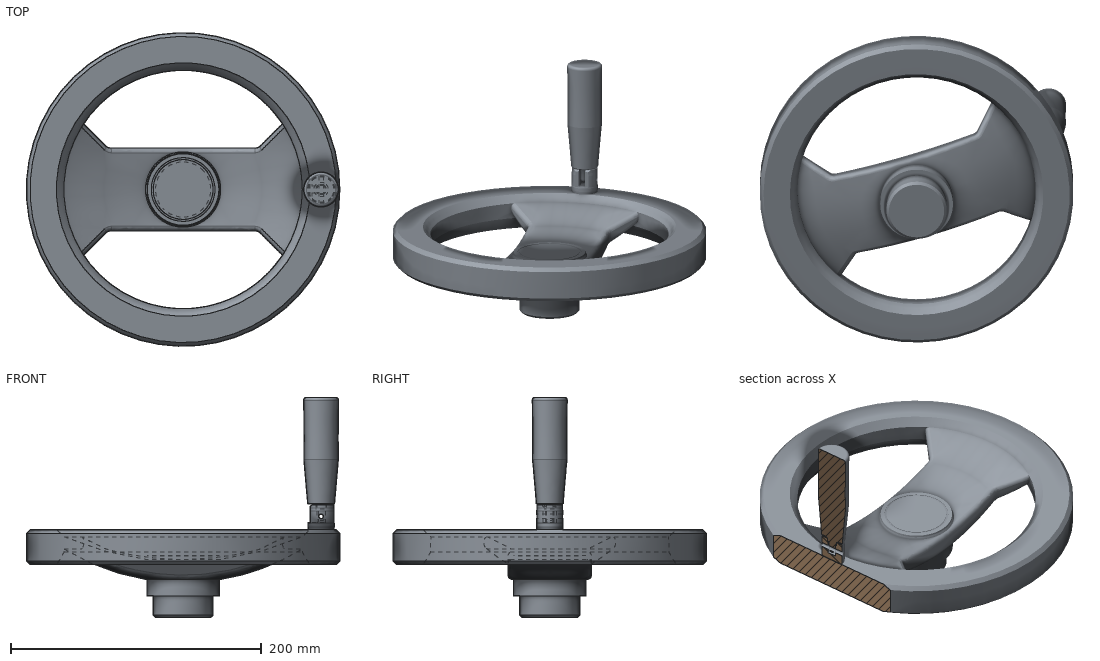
import cadquery as cq
import math

RIM_BOTTOM_Z = 42.2
RIM_TOP_Z = 70.1
OVERALL_HEIGHT = 175.5

RIM_RADIUS = 125.0
RIM_OUTER_CHAMFER = 3.0
RIM_FACE_INNER_RADIUS = 101.0
RIM_BORE_RADIUS = 95.0
RIM_UPPER_BEVEL_HEIGHT = 5.7
RIM_LOWER_BEVEL_HEIGHT = 10.0

SPIGOT_RADIUS = 24.0
SPIGOT_HEIGHT = 17.4
SPIGOT_CHAMFER = 2.0
FLANGE_RADIUS = 29.0
BOSS_TOP_Z = 49.4
BOSS_WALL_HEIGHT = 1.3
BOSS_BEVEL_HEIGHT = 1.6
BOSS_FOOT_Z = BOSS_TOP_Z - BOSS_WALL_HEIGHT - BOSS_BEVEL_HEIGHT
BOSS_TOP_RADIUS = 28.5
BOSS_WALL_RADIUS = 28.9
BOSS_BASE_RADIUS = 30.0
FACE_GROOVE_INNER_RADIUS = 23.8
FACE_GROOVE_WIDTH = 1.6
FACE_GROOVE_DEPTH = 0.4

WEB_HALF_WIDTH = 33.2
WEB_STRAIGHT_HALF_LENGTH = 60.0
WEB_FLARE_LENGTH = 40.0
WEB_EDGE_FILLET = 3.5
WEB_CORNER_RADIUS = 5.0
WEB_EDGE_MIN_Y = 30.0
WEB_LOWER_SPHERE_RADIUS = 182.0
WEB_LOWER_Z_AT_FLANGE = 30.2

HANDLE_X = 110.0

KNUCKLE_RADIUS = 10.5
KNUCKLE_FOOT_RADIUS = 10.3
KNUCKLE_FOOT_Z = 72.2
LEDGE_Z = 75.6
LEDGE_CHAMFER = 0.6
BARREL_RADIUS = 10.4
SHOULDER_Z = 85.1
NECK_Z = 87.4
NECK_RADIUS = 10.25
KNUCKLE_TOP_Z = 89.8
KNUCKLE_TOP_RADIUS = 10.2
FLAT_DISTANCE = 8.85
FLAT_TOP_BEVEL = 1.4
SLOT_WIDTH = 5.42
SLOT_CORNER_RADIUS = 1.5
BORE_RADIUS = 7.03 / 2
COUNTERBORE_RADIUS = 8.3 / 2
COUNTERBORE_Z = 86.6
PIVOT_Z = 80.7
PIVOT_HOLE_DIAMETER = 3.5

GRIP_RADIUS = 14.0
GRIP_WAIST_RADIUS = 13.65
GRIP_SHOULDER_RADIUS = 13.8
GRIP_SHOULDER_Z = 126.0
GRIP_BOTTOM_Z = 90.4
GRIP_BOTTOM_RADIUS = 10.8
GRIP_BOTTOM_CHAMFER = 0.7
GRIP_TOP_FILLET = 2.3
GRIP_COLLAR_RADIUS = 11.52 / 2
TONGUE_RADIUS = 6.95 / 2
TONGUE_ROOT_RADIUS = 8.17 / 2


def revolve_z(profile):
    """Full turn about the Z axis of a closed profile given in (radius, z)."""
    return profile.close().revolve(360, (0, 0, 0), (0, 1, 0))


def make_rim():
    """The rim ring, bevelled inside and chamfered outside."""
    chamfer = RIM_OUTER_CHAMFER
    profile = (
        cq.Workplane("XZ")
        .moveTo(RIM_FACE_INNER_RADIUS, RIM_BOTTOM_Z)
        .lineTo(RIM_RADIUS - chamfer, RIM_BOTTOM_Z)
        .lineTo(RIM_RADIUS, RIM_BOTTOM_Z + chamfer)
        .lineTo(RIM_RADIUS, RIM_TOP_Z - chamfer)
        .lineTo(RIM_RADIUS - chamfer, RIM_TOP_Z)
        .lineTo(RIM_FACE_INNER_RADIUS, RIM_TOP_Z)
        .lineTo(RIM_BORE_RADIUS, RIM_TOP_Z - RIM_UPPER_BEVEL_HEIGHT)
        .lineTo(RIM_BORE_RADIUS, RIM_BOTTOM_Z + RIM_LOWER_BEVEL_HEIGHT)
    )
    return revolve_z(profile)


def make_hub():
    """Spigot, flange and grooved boss in one turned piece."""
    wall_bottom_z = BOSS_TOP_Z - BOSS_WALL_HEIGHT
    profile = (
        cq.Workplane("XZ")
        .moveTo(0, 0)
        .lineTo(SPIGOT_RADIUS - SPIGOT_CHAMFER, 0)
        .lineTo(SPIGOT_RADIUS, SPIGOT_CHAMFER)
        .lineTo(SPIGOT_RADIUS, SPIGOT_HEIGHT)
        .lineTo(FLANGE_RADIUS, SPIGOT_HEIGHT)
        .lineTo(FLANGE_RADIUS, BOSS_FOOT_Z)
        .lineTo(BOSS_BASE_RADIUS, BOSS_FOOT_Z)
        .lineTo(BOSS_WALL_RADIUS, wall_bottom_z)
        .lineTo(BOSS_TOP_RADIUS, BOSS_TOP_Z)
        .lineTo(0, BOSS_TOP_Z)
    )
    groove = (
        cq.Workplane("XY", origin=(0, 0, BOSS_TOP_Z - FACE_GROOVE_DEPTH))
        .circle(FACE_GROOVE_INNER_RADIUS + FACE_GROOVE_WIDTH)
        .circle(FACE_GROOVE_INNER_RADIUS)
        .extrude(FACE_GROOVE_DEPTH)
    )
    return revolve_z(profile).cut(groove)


def make_web():
    """A two-winged dish between two spheres, with its long edges rounded."""
    flare_x = WEB_STRAIGHT_HALF_LENGTH + WEB_FLARE_LENGTH
    flare_y = WEB_HALF_WIDTH + WEB_FLARE_LENGTH
    outline = (
        cq.Workplane("XY")
        .moveTo(-flare_x, -flare_y)
        .lineTo(-WEB_STRAIGHT_HALF_LENGTH, -WEB_HALF_WIDTH)
        .lineTo(WEB_STRAIGHT_HALF_LENGTH, -WEB_HALF_WIDTH)
        .lineTo(flare_x, -flare_y)
        .lineTo(flare_x, flare_y)
        .lineTo(WEB_STRAIGHT_HALF_LENGTH, WEB_HALF_WIDTH)
        .lineTo(-WEB_STRAIGHT_HALF_LENGTH, WEB_HALF_WIDTH)
        .lineTo(-flare_x, flare_y)
        .close()
        .extrude(RIM_TOP_Z)
    )
    flare_middle_x = WEB_STRAIGHT_HALF_LENGTH + WEB_FLARE_LENGTH / 2
    inner_corners = outline.edges("|Z").filter(lambda edge: abs(edge.Center().x) < flare_middle_x)
    outline = inner_corners.fillet(WEB_CORNER_RADIUS)
    bore_top_z = RIM_TOP_Z - RIM_UPPER_BEVEL_HEIGHT
    rise = bore_top_z - BOSS_FOOT_Z
    upper_center_z = (
        RIM_BORE_RADIUS**2 - BOSS_BASE_RADIUS**2 + bore_top_z**2 - BOSS_FOOT_Z**2
    ) / (2 * rise)
    upper_radius = math.hypot(BOSS_BASE_RADIUS, upper_center_z - BOSS_FOOT_Z)

    lower_center_z = WEB_LOWER_Z_AT_FLANGE + math.sqrt(WEB_LOWER_SPHERE_RADIUS**2 - FLANGE_RADIUS**2)

    lower_ball = cq.Workplane("XY", origin=(0, 0, lower_center_z)).sphere(WEB_LOWER_SPHERE_RADIUS)
    upper_ball = cq.Workplane("XY", origin=(0, 0, upper_center_z)).sphere(upper_radius)
    end_radius = (RIM_BORE_RADIUS + RIM_FACE_INNER_RADIUS) / 2
    disc = cq.Workplane("XY").circle(end_radius).extrude(RIM_TOP_Z)
    web = outline.intersect(disc).intersect(lower_ball).cut(upper_ball)
    long_edges = web.edges("not(|Z)").filter(lambda edge: abs(edge.Center().y) > WEB_EDGE_MIN_Y)
    return long_edges.fillet(WEB_EDGE_FILLET)


def make_wheel():
    """Rim, web and hub as one body."""
    return make_rim().union(make_web()).union(make_hub())


def make_knuckle():
    """A turned stub standing on the rim, flattened and slotted on the side facing the hub."""
    profile = (
        cq.Workplane("XZ")
        .moveTo(0, RIM_TOP_Z)
        .lineTo(KNUCKLE_FOOT_RADIUS, RIM_TOP_Z)
        .lineTo(KNUCKLE_RADIUS, KNUCKLE_FOOT_Z)
        .lineTo(KNUCKLE_RADIUS, LEDGE_Z - LEDGE_CHAMFER)
        .lineTo(BARREL_RADIUS, LEDGE_Z)
        .lineTo(BARREL_RADIUS, SHOULDER_Z)
        .lineTo(NECK_RADIUS, NECK_Z)
        .lineTo(KNUCKLE_TOP_RADIUS, KNUCKLE_TOP_Z)
        .lineTo(0, KNUCKLE_TOP_Z)
    )
    flat = (
        cq.Workplane("XZ", origin=(0, KNUCKLE_RADIUS, 0))
        .moveTo(-KNUCKLE_RADIUS, LEDGE_Z)
        .lineTo(-FLAT_DISTANCE, LEDGE_Z)
        .lineTo(-FLAT_DISTANCE, KNUCKLE_TOP_Z - FLAT_TOP_BEVEL)
        .lineTo(FLAT_TOP_BEVEL - FLAT_DISTANCE, KNUCKLE_TOP_Z)
        .lineTo(-KNUCKLE_RADIUS, KNUCKLE_TOP_Z)
        .close()
        .extrude(2 * KNUCKLE_RADIUS)
    )
    slot_height = KNUCKLE_TOP_Z - LEDGE_Z
    slot = (
        cq.Workplane("XY", origin=(-KNUCKLE_RADIUS / 2, 0, LEDGE_Z))
        .box(KNUCKLE_RADIUS, SLOT_WIDTH, slot_height, centered=(True, True, False))
        .edges("|X and <Z")
        .fillet(SLOT_CORNER_RADIUS)
    )
    bore = cq.Workplane("XY", origin=(0, 0, LEDGE_Z)).circle(BORE_RADIUS).extrude(slot_height)
    counterbore = (
        cq.Workplane("XY", origin=(0, 0, COUNTERBORE_Z))
        .circle(COUNTERBORE_RADIUS)
        .extrude(KNUCKLE_TOP_Z - COUNTERBORE_Z)
    )
    knuckle = revolve_z(profile)
    for cutter in (flat, slot, bore, counterbore, make_pivot_hole()):
        knuckle = knuckle.cut(cutter)
    return knuckle.translate((HANDLE_X, 0, 0))


def make_pivot_hole():
    """Cutter for the hole along Y through the knuckle and the tongue."""
    return (
        cq.Workplane("XZ", origin=(0, KNUCKLE_RADIUS, PIVOT_Z))
        .circle(PIVOT_HOLE_DIAMETER / 2)
        .extrude(2 * KNUCKLE_RADIUS)
    )


def make_grip():
    """The turned grip with the round-ended tongue that reaches down into the bore."""
    waist_z = (GRIP_SHOULDER_Z + OVERALL_HEIGHT - GRIP_TOP_FILLET) / 2
    profile = (
        cq.Workplane("XZ")
        .moveTo(0, PIVOT_Z - TONGUE_RADIUS)
        .radiusArc((TONGUE_RADIUS, PIVOT_Z), -TONGUE_RADIUS)
        .lineTo(TONGUE_RADIUS, COUNTERBORE_Z)
        .lineTo(TONGUE_ROOT_RADIUS, COUNTERBORE_Z)
        .lineTo(TONGUE_ROOT_RADIUS, KNUCKLE_TOP_Z)
        .lineTo(GRIP_COLLAR_RADIUS, KNUCKLE_TOP_Z)
        .lineTo(GRIP_COLLAR_RADIUS, GRIP_BOTTOM_Z)
        .lineTo(GRIP_BOTTOM_RADIUS - GRIP_BOTTOM_CHAMFER, GRIP_BOTTOM_Z)
        .lineTo(GRIP_BOTTOM_RADIUS, GRIP_BOTTOM_Z + GRIP_BOTTOM_CHAMFER)
        .lineTo(GRIP_SHOULDER_RADIUS, GRIP_SHOULDER_Z)
        .threePointArc((GRIP_WAIST_RADIUS, waist_z), (GRIP_RADIUS, OVERALL_HEIGHT - GRIP_TOP_FILLET))
        .radiusArc((GRIP_RADIUS - GRIP_TOP_FILLET, OVERALL_HEIGHT), -GRIP_TOP_FILLET)
        .lineTo(0, OVERALL_HEIGHT)
    )
    return revolve_z(profile).cut(make_pivot_hole()).translate((HANDLE_X, 0, 0))


wheel = make_wheel()
knuckle = make_knuckle()
grip = make_grip()
result = cq.Compound.makeCompound([wheel.val(), knuckle.val(), grip.val()])